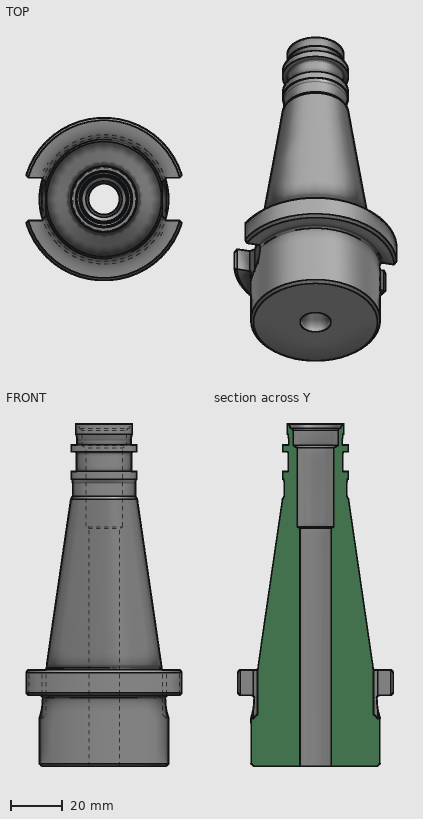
import cadquery as cq
import math

total_height = 132.4
flange_bottom_z = 27.4
flange_top_z = 37.3
gauge_z = 38.9
taper_end_z = 103.3
tang_start_z = 104.5
lower_ring_relief_z = 109.6
lower_ring_bottom_z = 111.1
lower_ring_top_z = 114.0
upper_ring_bottom_z = 121.5
upper_ring_top_z = 124.3
neck_top_z = 126.3
rim_bottom_z = 128.3

shank_radius = 25.0
flange_radius = 31.5
gauge_radius = 22.2
taper_slope = 7 / 48
taper_end_radius = gauge_radius - taper_slope * (taper_end_z - gauge_z)
tang_radius = 12.2
ring_radius = 12.7
ring_relief_radius = 12.5
groove_radius = 10.7
neck_radius = 10.5
rim_radius = 11.0
rim_undercut_radius = 10.7

shank_chamfer = 1.0
flange_chamfer = 1.0
shank_fillet = 0.9
taper_fillet = 0.8
groove_fillet = 0.4

mouth_radius = 10.5
mouth_ledge_outer_radius = 9.5
mouth_ledge_inner_radius = 9.1
counterbore_radius = 8.6
counterbore_depth = 8.3
thread_radius = 7.0
thread_depth = 39.7
through_radius = 6.0
mouth_half_angle = math.radians(30)
drill_half_angle = math.radians(60)

slot_half_width = 8.2
slot_floor_x = 22.5
slot_floor_chamfer = 1.6
slot_edge_chamfer = 1.0
slot_round_z = 26.7


def cone_height(large_radius, small_radius, half_angle):
    """Height over which a cone of the given half angle narrows between two radii."""
    return (large_radius - small_radius) / math.tan(half_angle)


def concave_arc(outline, radius, center, end, middle_angle):
    """Add a quarter arc about the center to the outline, passing its middle at the given angle."""
    angle = math.radians(middle_angle)
    middle = (center[0] + radius * math.cos(angle), center[1] + radius * math.sin(angle))
    return outline.threePointArc(middle, end)


def turned_blank():
    """Shank, flange, taper and tang, revolved about Z as one solid."""
    outline = (
        cq.Workplane("XZ")
        .moveTo(0, 0)
        .lineTo(shank_radius - shank_chamfer, 0)
        .lineTo(shank_radius, shank_chamfer)
        .lineTo(shank_radius, flange_bottom_z - shank_fillet)
    )
    outline = concave_arc(
        outline,
        shank_fillet,
        (shank_radius + shank_fillet, flange_bottom_z - shank_fillet),
        (shank_radius + shank_fillet, flange_bottom_z),
        135,
    )
    outline = (
        outline.lineTo(flange_radius - flange_chamfer, flange_bottom_z)
        .lineTo(flange_radius, flange_bottom_z + flange_chamfer)
        .lineTo(flange_radius, flange_top_z - flange_chamfer)
        .lineTo(flange_radius - flange_chamfer, flange_top_z)
        .lineTo(gauge_radius + taper_fillet, flange_top_z)
    )
    outline = concave_arc(
        outline,
        taper_fillet,
        (gauge_radius + taper_fillet, flange_top_z + taper_fillet),
        (gauge_radius, flange_top_z + taper_fillet),
        225,
    )
    outline = (
        outline.lineTo(gauge_radius, gauge_z)
        .lineTo(taper_end_radius, taper_end_z)
        .lineTo(tang_radius, tang_start_z)
        .lineTo(tang_radius, lower_ring_relief_z)
        .lineTo(ring_relief_radius, lower_ring_bottom_z)
        .lineTo(ring_radius, lower_ring_bottom_z)
        .lineTo(ring_radius, lower_ring_top_z)
        .lineTo(groove_radius, lower_ring_top_z)
        .lineTo(groove_radius, upper_ring_bottom_z - groove_fillet)
    )
    outline = concave_arc(
        outline,
        groove_fillet,
        (groove_radius + groove_fillet, upper_ring_bottom_z - groove_fillet),
        (groove_radius + groove_fillet, upper_ring_bottom_z),
        135,
    )
    outline = (
        outline.lineTo(ring_radius, upper_ring_bottom_z)
        .lineTo(ring_radius, upper_ring_top_z)
        .lineTo(neck_radius, upper_ring_top_z)
        .lineTo(neck_radius, neck_top_z)
        .lineTo(rim_undercut_radius, rim_bottom_z)
        .lineTo(rim_radius, rim_bottom_z)
        .lineTo(rim_radius, total_height)
        .lineTo(0, total_height)
        .close()
    )
    return outline.revolve(360, (0, 0, 0), (0, 1, 0))


def stepped_bore():
    """Two-stage coned mouth, counterbore, thread hole and through hole, revolved about Z."""
    ledge_z = total_height - cone_height(mouth_radius, mouth_ledge_outer_radius, mouth_half_angle)
    counterbore_top_z = ledge_z - cone_height(
        mouth_ledge_inner_radius, counterbore_radius, mouth_half_angle
    )
    counterbore_bottom_z = total_height - counterbore_depth
    thread_top_z = counterbore_bottom_z - cone_height(
        counterbore_radius, thread_radius, drill_half_angle
    )
    thread_bottom_z = total_height - thread_depth
    through_top_z = thread_bottom_z - cone_height(thread_radius, through_radius, drill_half_angle)
    return (
        cq.Workplane("XZ")
        .moveTo(0, 0)
        .lineTo(through_radius, 0)
        .lineTo(through_radius, through_top_z)
        .lineTo(thread_radius, thread_bottom_z)
        .lineTo(thread_radius, thread_top_z)
        .lineTo(counterbore_radius, counterbore_bottom_z)
        .lineTo(counterbore_radius, counterbore_top_z)
        .lineTo(mouth_ledge_inner_radius, ledge_z)
        .lineTo(mouth_ledge_outer_radius, ledge_z)
        .lineTo(mouth_radius, total_height)
        .lineTo(0, total_height)
        .close()
        .revolve(360, (0, 0, 0), (0, 1, 0))
    )


def driving_slot():
    """Round-ended slot on the +X side, with a chamfered floor and a flared mouth."""
    edge_y = slot_half_width + slot_edge_chamfer
    flare_start_x = math.sqrt(flange_radius**2 - edge_y**2) - slot_edge_chamfer
    mouth_x = flange_radius + slot_edge_chamfer
    mouth_half_width = slot_half_width + mouth_x - flare_start_x
    half_section = (
        cq.Workplane("XY", origin=(0, 0, slot_round_z))
        .moveTo(slot_floor_x, 0)
        .lineTo(slot_floor_x, slot_half_width - slot_floor_chamfer)
        .lineTo(slot_floor_x + slot_floor_chamfer, slot_half_width)
        .lineTo(flare_start_x, slot_half_width)
        .lineTo(mouth_x, mouth_half_width)
        .lineTo(mouth_x, 0)
        .close()
    )
    round_end = half_section.revolve(360, (0, 0, 0), (1, 0, 0))
    half_channel = half_section.toPending().extrude(flange_top_z + taper_fillet - slot_round_z)
    return round_end.union(half_channel).union(half_channel.mirror("XZ"))


def make_holder():
    """Taper holder with its bore and two opposite driving slots."""
    holder = turned_blank().cut(stepped_bore())
    slot = driving_slot()
    for angle in (0, 180):
        holder = holder.cut(slot.rotate((0, 0, 0), (0, 0, 1), angle))
    return holder


holder = make_holder()

result = cq.Compound.makeCompound([holder.val()])